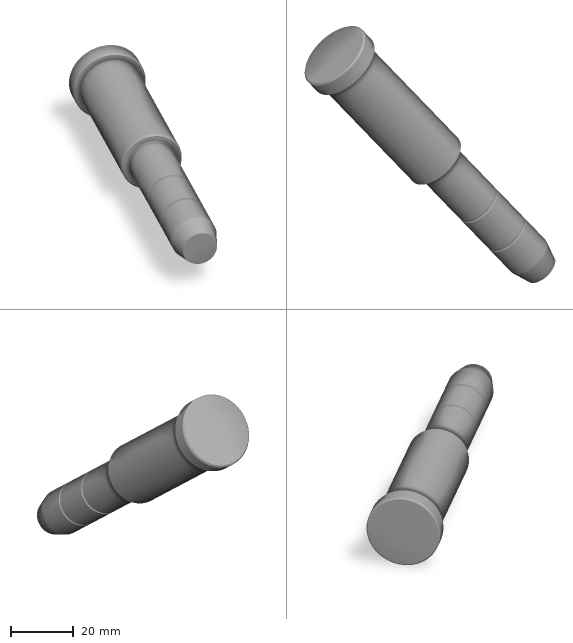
import cadquery as cq
import math

total_length = 111.0
head_length = 6.0
body_end = 55.0
taper_length = 7.0
taper_angle = 15.0

head_radius = 24.0 / 2
body_radius = 20.0 / 2
shank_radius = 15.0 / 2
tip_radius = shank_radius - taper_length * math.tan(math.radians(taper_angle))

edge_chamfer = 0.5
shank_root_fillet = 0.5

groove_radius = 0.5
first_groove_offset = 22.0
groove_pitch = 15.0
groove_count = 2


def make_blank():
    """Head, body and shank turned as one stepped profile, with sharp corners."""
    profile = [
        (0, 0),
        (0, head_radius),
        (head_length, head_radius),
        (head_length, body_radius),
        (body_end, body_radius),
        (body_end, shank_radius),
        (total_length - taper_length, shank_radius),
        (total_length, tip_radius),
        (total_length, 0),
    ]
    return cq.Workplane("XZ").polyline(profile).close().revolve(360, (0, 0), (1, 0))


def rim(pin, x, radius):
    """Outermost circular edge within the given radius at position x on the axis."""
    margin = 0.1
    reach = radius + margin
    inner_corner = (x - margin, -reach, -reach)
    outer_corner = (x + margin, reach, reach)
    region = cq.selectors.BoxSelector(inner_corner, outer_corner, boundingbox=True)
    return pin.edges(region).edges(cq.selectors.RadiusNthSelector(-1))


def finish_edges(pin):
    """Round the root of the shank and chamfer the head rims and the body end."""
    pin = rim(pin, body_end, shank_radius).fillet(shank_root_fillet)
    for x, radius in [(0, head_radius), (head_length, head_radius), (body_end, body_radius)]:
        pin = rim(pin, x, radius).chamfer(edge_chamfer)
    return pin


def groove_cutter(center, surface_radius):
    """Ring of half-round section cutting a groove centred at X = center."""
    clearance = 0.5
    start = center - groove_radius
    end = center + groove_radius
    top = surface_radius + clearance
    section = (
        cq.Workplane("XZ")
        .moveTo(start, top)
        .lineTo(start, surface_radius)
        .threePointArc((center, surface_radius - groove_radius), (end, surface_radius))
        .lineTo(end, top)
        .close()
    )
    return section.revolve(360, (0, 0), (1, 0))


def cut_grooves(pin):
    """Cut the relief behind the head and the grooves around the shank."""
    pin = pin.cut(groove_cutter(head_length + groove_radius, body_radius))
    for index in range(groove_count):
        center = body_end + first_groove_offset + index * groove_pitch
        pin = pin.cut(groove_cutter(center, shank_radius))
    return pin


result = cut_grooves(finish_edges(make_blank()))